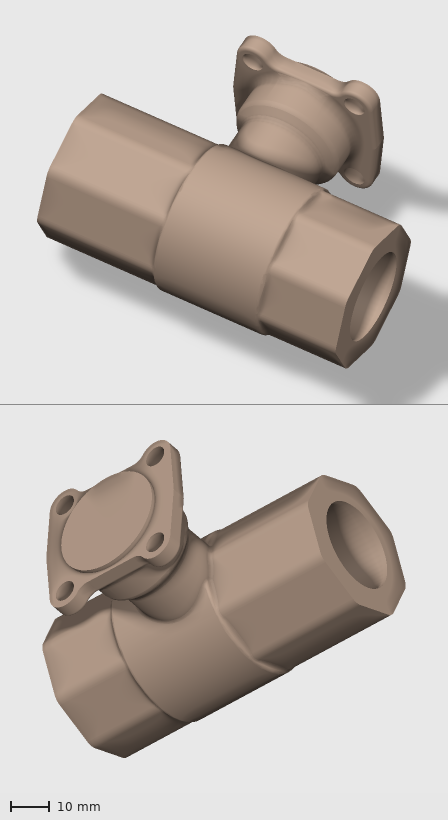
import cadquery as cq
import math

TOLERANCE = 0.04

RUN_LENGTH = 87.6
BORE_DIAMETER = 25.0
OCTAGON_FLATS = 37.75
OCTAGON_CORNER_RADIUS = 4.0
OCTAGON_SIDES = 8

SLEEVE_DIAMETER = 41.0
SLEEVE_START = 34.0
SLEEVE_END = 65.1
SLEEVE_EDGE_RADIUS = 1.0
SLEEVE_ROOT_RADIUS = 1.0

OVERALL_WIDTH = 68.0
BRANCH_X = 44.4
BRANCH_END = OVERALL_WIDTH - SLEEVE_DIAMETER / 2
NECK_RADIUS = 24.0 / 2
HEAD_RADIUS = 30.0 / 2
HEAD_LENGTH = 15.1
CONE_LENGTH = HEAD_RADIUS - NECK_RADIUS
CONE_EDGE_RADIUS = 2.0
NECK_ROOT_RADIUS = 1.0

FLANGE_BACK_DEPTH = 1.4
FLANGE_FRONT_DEPTH = 6.1
FLANGE_THICKNESS = FLANGE_FRONT_DEPTH - FLANGE_BACK_DEPTH
FLANGE_HALF_WIDTH = 21.0
FLANGE_EDGE_RADIUS = 1.0
FLANGE_ROOT_RADIUS = 2.0
EAR_OFFSET = 14.9
EAR_RADIUS = 5.0
EAR_HOLE_DIAMETER = 6.0
VALLEY_HALF_HEIGHT = 16.0
VALLEY_RADIUS = 3.85


def edges_inside(x_min, x_max, y_min, y_max, z_half):
    """Selector for edges lying wholly inside a box that is centred on Z = 0."""
    return cq.selectors.BoxSelector(
        (x_min - TOLERANCE, y_min - TOLERANCE, -z_half - TOLERANCE),
        (x_max + TOLERANCE, y_max + TOLERANCE, z_half + TOLERANCE),
        boundingbox=True,
    )


def branch_plane(depth):
    """Workplane across the branch, facing -Y, at a depth below the branch end."""
    origin = (BRANCH_X, BRANCH_END - depth, 0)
    return cq.Workplane(cq.Plane(origin=origin, xDir=(1, 0, 0), normal=(0, -1, 0)))


def make_octagon_run():
    """Octagonal bar with rounded corners, corners on the Y and Z axes."""
    corner_diameter = OCTAGON_FLATS / math.cos(math.pi / OCTAGON_SIDES)
    bar = cq.Workplane("YZ").polygon(OCTAGON_SIDES, corner_diameter).extrude(RUN_LENGTH)
    return bar.edges("|X").fillet(OCTAGON_CORNER_RADIUS)


def make_body():
    """Octagonal run with the sleeve blended into it at both ends."""
    sleeve_radius = SLEEVE_DIAMETER / 2
    sleeve = (
        cq.Workplane("YZ", origin=(SLEEVE_START, 0, 0))
        .circle(sleeve_radius)
        .extrude(SLEEVE_END - SLEEVE_START)
        .edges("%CIRCLE")
        .fillet(SLEEVE_EDGE_RADIUS)
    )
    body = make_octagon_run().union(sleeve)
    for step_x in (SLEEVE_START, SLEEVE_END):
        step_edges = edges_inside(step_x, step_x, -sleeve_radius, sleeve_radius, sleeve_radius)
        body = body.edges(step_edges).fillet(SLEEVE_ROOT_RADIUS)
    return body


def make_branch():
    """Solid neck, cone and head, with both cone edges rounded."""
    cone_top = BRANCH_END - HEAD_LENGTH
    cone_bottom = cone_top - CONE_LENGTH
    half_profile = [
        (0, 0),
        (NECK_RADIUS, 0),
        (NECK_RADIUS, cone_bottom),
        (HEAD_RADIUS, cone_top),
        (HEAD_RADIUS, BRANCH_END),
        (0, BRANCH_END),
    ]
    branch = cq.Workplane("XY").polyline(half_profile).close().revolve(360, (0, 0), (0, 1))
    cone_edges = edges_inside(-HEAD_RADIUS, HEAD_RADIUS, cone_bottom, cone_top, HEAD_RADIUS)
    branch = branch.edges(cone_edges).edges("%CIRCLE").fillet(CONE_EDGE_RADIUS)
    return branch.translate((BRANCH_X, 0, 0))


def round_neck_root(tee):
    """Fillet the closed seam where the neck runs into the body."""

    def on_neck_root(edge):
        ends = (edge.startPoint(), edge.endPoint())
        farthest = max(math.hypot(end.x - BRANCH_X, end.z) for end in ends)
        below_cone = all(0 < end.y <= SLEEVE_DIAMETER / 2 + TOLERANCE for end in ends)
        return below_cone and farthest < NECK_RADIUS + TOLERANCE

    return tee.edges().filter(on_neck_root).fillet(NECK_ROOT_RADIUS)


def draw_flange_outline(plane):
    """Quarter outline mirrored twice: creased sides, round ears and shallow valleys."""

    def ear_point(angle):
        return EAR_OFFSET + EAR_RADIUS * math.cos(angle), EAR_OFFSET + EAR_RADIUS * math.sin(angle)

    centre_rise = VALLEY_HALF_HEIGHT + VALLEY_RADIUS - EAR_OFFSET
    centre_span = EAR_RADIUS + VALLEY_RADIUS
    valley_end_x = EAR_OFFSET - math.sqrt(centre_span**2 - centre_rise**2)
    ear_start_angle = math.pi - math.asin(centre_rise / centre_span)

    crease_offset = FLANGE_HALF_WIDTH - EAR_OFFSET
    crease_distance = math.hypot(crease_offset, EAR_OFFSET)
    ear_end_angle = math.acos(EAR_RADIUS / crease_distance) - math.atan2(EAR_OFFSET, crease_offset)

    return (
        plane.moveTo(0, VALLEY_HALF_HEIGHT)
        .lineTo(valley_end_x, VALLEY_HALF_HEIGHT)
        .tangentArcPoint(ear_point(ear_start_angle), relative=False)
        .threePointArc(ear_point((ear_start_angle + ear_end_angle) / 2), ear_point(ear_end_angle))
        .lineTo(FLANGE_HALF_WIDTH, 0)
        .mirrorX()
        .mirrorY()
    )


def make_flange():
    """Four-eared plate on a length of the head, with a concave root and bolt holes."""
    plate = draw_flange_outline(branch_plane(FLANGE_BACK_DEPTH)).extrude(FLANGE_THICKNESS)
    plate = plate.faces("<Y").edges().fillet(FLANGE_EDGE_RADIUS)

    head = branch_plane(0).circle(HEAD_RADIUS).extrude(HEAD_LENGTH - CONE_EDGE_RADIUS)
    front_y = BRANCH_END - FLANGE_FRONT_DEPTH
    root_edges = edges_inside(BRANCH_X - HEAD_RADIUS, BRANCH_X + HEAD_RADIUS, front_y, front_y, HEAD_RADIUS)
    flange = plate.union(head).edges(root_edges).fillet(FLANGE_ROOT_RADIUS)

    holes = (
        branch_plane(FLANGE_BACK_DEPTH)
        .rect(2 * EAR_OFFSET, 2 * EAR_OFFSET, forConstruction=True)
        .vertices()
        .circle(EAR_HOLE_DIAMETER / 2)
        .extrude(FLANGE_THICKNESS)
    )
    return flange.cut(holes)


tee = round_neck_root(make_body().union(make_branch()))
bore = cq.Workplane("YZ").circle(BORE_DIAMETER / 2).extrude(RUN_LENGTH)
result = tee.union(make_flange()).cut(bore)